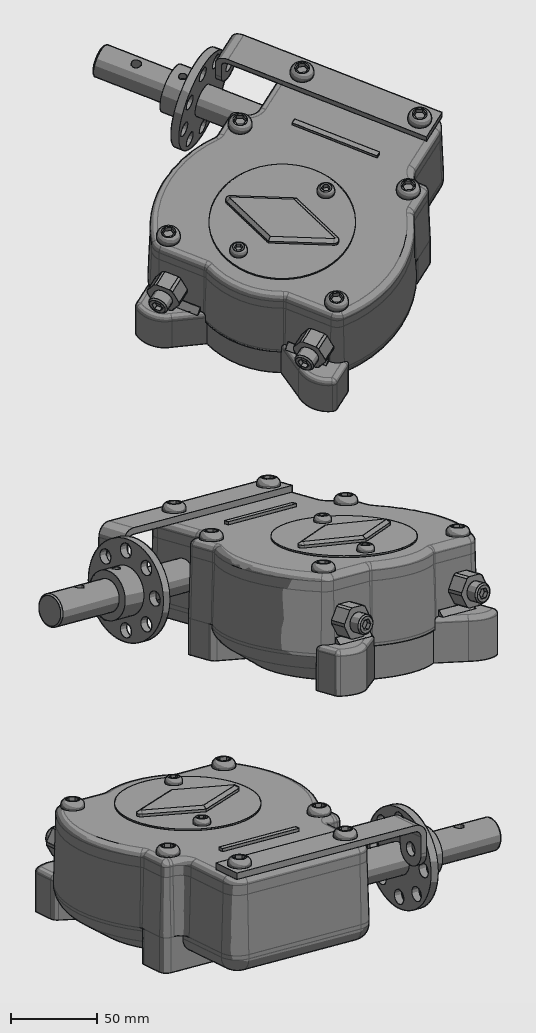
import cadquery as cq
import math

DRUM_RADIUS = 77.9
LOBE_RADIUS = 55.9
LOBE_BASE_RADIUS = 55.1
FRONT_WALL_Y = -49.5
POST_HALF_WIDTH = 65.0
POST_BACK_Y = 65.3
NECK_HALF_WIDTH = 51.8
NECK_BACK_Y = 114.3
NECK_BOTTOM_Z = 10.0
NECK_BOTTOM_FILLET = 9.5
NECK_CORNER_RADIUS = 11.4
POST_CORNER_RADIUS = 4.7
POST_BLEND_RADIUS = 2.8
NECK_BLEND_RADIUS = 6.2
DRUM_CORNER_RADIUS = 9.2
LOBE_BLEND_RADIUS = 2.0
WALL_BASE_Z = 22.0
BOWL_TOP_Z = 20.0
BOWL_KNUCKLE_RADIUS = 72.2
BOWL_KNUCKLE_Z = 11.4
FLANK_INNER_X = 45.5
FLANK_INNER_Y = 32.2
FLANK_CORNER_RADIUS = 4.7

SPLIT_Z = 59.2
COVER_TOP_Z = 69.5
COVER_INSET = 1.2
COVER_FILLET = 4.3

FOOT_TOP_Z = 27.5
FOOT_FRONT_Y = -65.3
FOOT_INNER_X = 23.7
FOOT_SHOULDER_Y = -61.0
FOOT_NOSE_X = 53.0
FOOT_SLANT_X = 41.0
FOOT_CORNER_RADIUS = 3.5
FOOT_TOP_FILLET = 3.3
RAMP_TOP_Z = 31.0
RAMP_DEPTH = 3.5
RAMP_INNER_X = 28.5
RAMP_OUTER_X = 55.0

DISC_DIAMETER = 85.0
DISC_THICKNESS = 1.0
DISC_SEAT_DIAMETER = 80.0
DISC_SEAT_HEIGHT = 1.0
DIAMOND_HALF_LENGTH = 40.5
DIAMOND_HALF_WIDTH = 18.0
DIAMOND_TIP_RADIUS = 2.8
DIAMOND_RIM_HEIGHT = 1.7
DIAMOND_SLOPE_HEIGHT = 1.7
DIAMOND_TAPER = 55
BAR_HEIGHT = 2.0
BAR_LENGTH = 55.1
BAR_WIDTH = 3.3
BAR_Y = 69.5

SHAFT_DIAMETER = 20.0
SHAFT_Y = 81.5
SHAFT_Z = 41.2
SHAFT_END_X = -158.8
SHAFT_CHAMFER = 1.0
PIN_HOLE_DIAMETER = 6.0
PIN_HOLE_X = -135.1
COLLAR_DIAMETER = 30.0
COLLAR_START_X = -112.5
SET_SCREW_DIAMETER = 4.7
SET_SCREW_X = -105.0
FLANGE_DIAMETER = 62.5
FLANGE_START_X = -97.3
FLANGE_THICKNESS = 5.2
FLANGE_HOLE_COUNT = 8
FLANGE_HOLE_DIAMETER = 9.0
FLANGE_HOLE_CIRCLE = 48.0

STRAP_LEFT_X = -89.2
STRAP_RIGHT_X = 47.5
STRAP_FRONT_Y = 91.8
STRAP_WIDTH = 20.4
STRAP_THICKNESS = 4.0
STRAP_BEND_RADIUS = 8.3
STRAP_EYE_Z = 55.0
STRAP_EYE_DIAMETER = 8.5

LARGE_HEAD_DIAMETER = 14.0
LARGE_HEAD_TOP_DIAMETER = 8.5
LARGE_HEAD_HEIGHT = 4.7
LARGE_SOCKET_WIDTH = 6.5
SMALL_HEAD_DIAMETER = 10.5
SMALL_HEAD_TOP_DIAMETER = 6.9
SMALL_HEAD_HEIGHT = 3.8
SMALL_SOCKET_WIDTH = 4.3
HEAD_RIM_HEIGHT = 1.0
SOCKET_DEPTH = 2.8
SOCKET_TURN = 30
STRAP_SCREW_X = 38.0
COVER_SCREW_X = 54.5
COVER_SCREW_BACK_Y = 54.5
COVER_SCREW_FRONT_Y = -38.5
DISC_SCREW_X = 12.8
DISC_SCREW_Y = 31.0

BOLT_X = 47.3
BOLT_Z = 41.0
BOLT_DIAMETER = 12.0
BOLT_END_Y = -67.2
BOLT_CHAMFER = 1.0
BOLT_EMBED = 2.4
BOLT_SOCKET_WIDTH = 6.0
NUT_END_Y = -59.6
NUT_WIDTH = 19
NUT_CHAMFER_DIAMETER = 20.8

POST_START_Y = math.sqrt(DRUM_RADIUS**2 - POST_HALF_WIDTH**2)
DISC_TOP_Z = COVER_TOP_Z + DISC_SEAT_HEIGHT + DISC_THICKNESS
STRAP_TOP_Z = COVER_TOP_Z + STRAP_THICKNESS
STRAP_CENTER_Y = STRAP_FRONT_Y + STRAP_WIDTH / 2
WALL_DRAFT = math.degrees(math.atan(COVER_INSET / (SPLIT_Z - WALL_BASE_Z)))


def block(x_range, y_range, z_range):
    """Box between two limits along each axis."""
    sizes = [high - low for low, high in (x_range, y_range, z_range)]
    corner = (x_range[0], y_range[0], z_range[0])
    return cq.Workplane("XY").box(*sizes, centered=False).translate(corner)


def hex_prism(workplane, width, length):
    """Hexagonal prism given by its width across flats."""
    return workplane.polygon(6, width / math.cos(math.pi / 6)).extrude(length)


def on_both_sides(solid):
    """A solid together with its mirror image across the YZ plane."""
    return solid.union(solid.mirror("YZ"))


def housing_outline():
    """Closed wire around the drum, front lobe, rear posts and neck, with rounded corners."""
    lobe_x = math.sqrt(LOBE_RADIUS**2 - FRONT_WALL_Y**2)
    drum_x = math.sqrt(DRUM_RADIUS**2 - FRONT_WALL_Y**2)
    plate_thickness = 2.4
    plate = (
        cq.Workplane("XY")
        .moveTo(-lobe_x, FRONT_WALL_Y)
        .threePointArc((0, -LOBE_RADIUS), (lobe_x, FRONT_WALL_Y))
        .lineTo(drum_x, FRONT_WALL_Y)
        .threePointArc((DRUM_RADIUS, 0), (POST_HALF_WIDTH, POST_START_Y))
        .lineTo(POST_HALF_WIDTH, POST_BACK_Y)
        .lineTo(NECK_HALF_WIDTH, POST_BACK_Y)
        .lineTo(NECK_HALF_WIDTH, NECK_BACK_Y)
        .lineTo(-NECK_HALF_WIDTH, NECK_BACK_Y)
        .lineTo(-NECK_HALF_WIDTH, POST_BACK_Y)
        .lineTo(-POST_HALF_WIDTH, POST_BACK_Y)
        .lineTo(-POST_HALF_WIDTH, POST_START_Y)
        .threePointArc((-DRUM_RADIUS, 0), (-drum_x, FRONT_WALL_Y))
        .close()
        .extrude(plate_thickness)
    )
    corners = [
        (lobe_x, FRONT_WALL_Y, LOBE_BLEND_RADIUS),
        (drum_x, FRONT_WALL_Y, DRUM_CORNER_RADIUS),
        (POST_HALF_WIDTH, POST_START_Y, POST_BLEND_RADIUS),
        (POST_HALF_WIDTH, POST_BACK_Y, POST_CORNER_RADIUS),
        (NECK_HALF_WIDTH, POST_BACK_Y, NECK_BLEND_RADIUS),
        (NECK_HALF_WIDTH, NECK_BACK_Y, NECK_CORNER_RADIUS),
    ]
    for x, y, radius in corners:
        for side in (-1, 1):
            corner = cq.selectors.NearestToPointSelector((side * x, y, plate_thickness / 2))
            plate = plate.edges("|Z").edges(corner).fillet(radius)
    return plate.faces("<Z").wires().val()


def make_walls():
    """Drafted housing walls below the split, and the cover with its rounded top edge."""
    outline = housing_outline()
    walls = (
        cq.Workplane("XY")
        .add(outline.translate(cq.Vector(0, 0, WALL_BASE_Z)))
        .toPending()
        .extrude(SPLIT_Z - WALL_BASE_Z, taper=WALL_DRAFT)
    )
    cover = (
        cq.Workplane("XY")
        .add(outline.offset2D(-COVER_INSET)[0].translate(cq.Vector(0, 0, SPLIT_Z)))
        .toPending()
        .extrude(COVER_TOP_Z - SPLIT_Z)
        .faces(">Z")
        .edges()
        .fillet(COVER_FILLET)
    )
    return walls.union(cover)


def make_underside():
    """Conical bowl, lobe, rear posts and neck below the drafted walls."""
    bowl = (
        cq.Workplane("XZ")
        .moveTo(0, 0)
        .lineTo(LOBE_BASE_RADIUS, 0)
        .lineTo(BOWL_KNUCKLE_RADIUS, BOWL_KNUCKLE_Z)
        .tangentArcPoint((DRUM_RADIUS, BOWL_TOP_Z), relative=False)
        .lineTo(DRUM_RADIUS, WALL_BASE_Z)
        .lineTo(0, WALL_BASE_Z)
        .close()
        .revolve(360, (0, 0, 0), (0, 1, 0))
        .intersect(block((-DRUM_RADIUS, DRUM_RADIUS), (FRONT_WALL_Y, DRUM_RADIUS), (0, WALL_BASE_Z)))
    )
    lobe = (
        cq.Workplane("XY")
        .circle(LOBE_BASE_RADIUS)
        .extrude(BOWL_TOP_Z)
        .faces(">Z")
        .workplane()
        .circle(LOBE_RADIUS)
        .extrude(WALL_BASE_Z - BOWL_TOP_Z)
    )
    post_root_x = LOBE_RADIUS / 2
    post = (
        cq.Workplane("XY")
        .moveTo(FLANK_INNER_X, FLANK_INNER_Y)
        .lineTo(POST_HALF_WIDTH, POST_START_Y)
        .lineTo(POST_HALF_WIDTH, POST_BACK_Y)
        .lineTo(post_root_x, POST_BACK_Y)
        .lineTo(post_root_x, FLANK_INNER_Y)
        .close()
        .extrude(WALL_BASE_Z)
        .edges("|Z and >X and >Y")
        .fillet(POST_CORNER_RADIUS)
        .edges(cq.selectors.NearestToPointSelector((POST_HALF_WIDTH, POST_START_Y, WALL_BASE_Z / 2)))
        .fillet(FLANK_CORNER_RADIUS)
    )
    neck = (
        block((-NECK_HALF_WIDTH, NECK_HALF_WIDTH), (0, NECK_BACK_Y), (NECK_BOTTOM_Z, WALL_BASE_Z))
        .edges("|Z and >Y")
        .fillet(NECK_CORNER_RADIUS)
        .faces("<Z")
        .edges("not <Y")
        .fillet(NECK_BOTTOM_FILLET)
    )
    return bowl.union(lobe).union(on_both_sides(post)).union(neck)


def make_front_foot():
    """Right front foot: a rounded nose with a slanted inner side, and a ramp up to the wall."""
    rim = cq.selectors.BoxSelector(
        (FOOT_INNER_X, FOOT_FRONT_Y, FOOT_TOP_Z - FOOT_TOP_FILLET),
        (POST_HALF_WIDTH + FOOT_TOP_FILLET, -POST_START_Y, FOOT_TOP_Z + FOOT_TOP_FILLET),
    )
    foot = (
        cq.Workplane("XY")
        .moveTo(FOOT_INNER_X, -FLANK_INNER_Y)
        .lineTo(FLANK_INNER_X, -FLANK_INNER_Y)
        .lineTo(POST_HALF_WIDTH, -POST_START_Y)
        .lineTo(POST_HALF_WIDTH, FOOT_SHOULDER_Y)
        .threePointArc((FOOT_NOSE_X, FOOT_FRONT_Y), (FOOT_SLANT_X, FOOT_SHOULDER_Y))
        .lineTo(FOOT_INNER_X, FRONT_WALL_Y)
        .close()
        .extrude(FOOT_TOP_Z)
        .edges("|Z and >X")
        .edges("<Y")
        .fillet(FOOT_CORNER_RADIUS)
        .edges(cq.selectors.NearestToPointSelector((POST_HALF_WIDTH, -POST_START_Y, FOOT_TOP_Z / 2)))
        .fillet(FLANK_CORNER_RADIUS)
        .faces(">Z")
        .edges(rim)
        .fillet(FOOT_TOP_FILLET)
    )
    ramp = (
        cq.Workplane("YZ", origin=(RAMP_INNER_X, 0, 0))
        .moveTo(FRONT_WALL_Y + COVER_INSET, FOOT_TOP_Z)
        .lineTo(FRONT_WALL_Y + COVER_INSET, RAMP_TOP_Z)
        .lineTo(FRONT_WALL_Y, RAMP_TOP_Z)
        .lineTo(FRONT_WALL_Y - RAMP_DEPTH, FOOT_TOP_Z)
        .close()
        .extrude(RAMP_OUTER_X - RAMP_INNER_X)
    )
    return foot.union(ramp)


def make_stop_bolt():
    """Right stop bolt with its hexagonal lock nut and socket."""
    front = cq.Workplane("XZ", origin=(BOLT_X, 0, BOLT_Z))
    nut_start = -FRONT_WALL_Y - COVER_INSET - BOLT_EMBED
    nut_length = -NUT_END_Y - nut_start
    nut_round = (
        front.workplane(offset=nut_start)
        .circle(NUT_CHAMFER_DIAMETER / 2)
        .extrude(nut_length)
    )
    nut = hex_prism(front.workplane(offset=nut_start), NUT_WIDTH, nut_length).intersect(nut_round)
    bolt = (
        front.workplane(offset=nut_start)
        .circle(BOLT_DIAMETER / 2)
        .extrude(-BOLT_END_Y - nut_start)
        .faces("<Y")
        .chamfer(BOLT_CHAMFER)
    )
    socket = hex_prism(front.workplane(offset=-BOLT_END_Y - SOCKET_DEPTH), BOLT_SOCKET_WIDTH, SOCKET_DEPTH)
    return nut.union(bolt).cut(socket)


def make_indicator():
    """Disc on a smaller round seat, its diamond with sloped edges, and the bar behind it."""
    disc = (
        cq.Workplane("XY", origin=(0, 0, COVER_TOP_Z))
        .circle(DISC_SEAT_DIAMETER / 2)
        .extrude(DISC_SEAT_HEIGHT)
        .faces(">Z")
        .workplane()
        .circle(DISC_DIAMETER / 2)
        .extrude(DISC_THICKNESS)
    )
    diamond = (
        cq.Workplane("XY", origin=(0, 0, DISC_TOP_Z))
        .polyline(
            [
                (DIAMOND_HALF_LENGTH, 0),
                (0, DIAMOND_HALF_WIDTH),
                (-DIAMOND_HALF_LENGTH, 0),
                (0, -DIAMOND_HALF_WIDTH),
            ]
        )
        .close()
        .extrude(DIAMOND_RIM_HEIGHT)
        .edges("|Z and (<X or >X)")
        .fillet(DIAMOND_TIP_RADIUS)
    )
    slopes = (
        diamond.faces(">Z")
        .wires()
        .toPending()
        .extrude(DIAMOND_SLOPE_HEIGHT, combine=False, taper=DIAMOND_TAPER)
    )
    bar = cq.Workplane("XY", origin=(0, BAR_Y, COVER_TOP_Z)).rect(BAR_LENGTH, BAR_WIDTH).extrude(BAR_HEIGHT)
    return disc.union(diamond).union(slopes).union(bar)


def make_shaft():
    """Input shaft with its collar and drilled flange, along X."""

    def round_bar(start_x, end_x, diameter):
        plane = cq.Workplane("YZ", origin=(start_x, SHAFT_Y, SHAFT_Z))
        return plane.circle(diameter / 2).extrude(end_x - start_x)

    def drill_down(x, diameter, bottom_z):
        plane = cq.Workplane("XY", origin=(x, SHAFT_Y, bottom_z))
        return plane.circle(diameter / 2).extrude(COLLAR_DIAMETER)

    shaft_root_x = -NECK_HALF_WIDTH / 2
    shaft = round_bar(SHAFT_END_X, shaft_root_x, SHAFT_DIAMETER).faces("<X").chamfer(SHAFT_CHAMFER)
    collar = round_bar(COLLAR_START_X, FLANGE_START_X, COLLAR_DIAMETER)
    flange_end_x = FLANGE_START_X + FLANGE_THICKNESS
    flange = round_bar(FLANGE_START_X, flange_end_x, FLANGE_DIAMETER)
    flange_holes = (
        cq.Workplane("YZ", origin=(FLANGE_START_X, SHAFT_Y, SHAFT_Z))
        .polarArray(FLANGE_HOLE_CIRCLE / 2, 0, 360, FLANGE_HOLE_COUNT)
        .circle(FLANGE_HOLE_DIAMETER / 2)
        .extrude(FLANGE_THICKNESS)
    )
    pin_hole = drill_down(PIN_HOLE_X, PIN_HOLE_DIAMETER, SHAFT_Z - SHAFT_DIAMETER / 2)
    set_screw_hole = drill_down(SET_SCREW_X, SET_SCREW_DIAMETER, SHAFT_Z + SHAFT_DIAMETER / 2)
    return shaft.union(collar).union(flange.cut(flange_holes)).cut(pin_hole).cut(set_screw_hole)


def make_strap():
    """Bracket strap bent down at its left end, where it finishes in a round eye."""
    strap = (
        cq.Workplane("XZ", origin=(0, STRAP_FRONT_Y, 0))
        .moveTo(STRAP_RIGHT_X, STRAP_TOP_Z)
        .lineTo(STRAP_LEFT_X, STRAP_TOP_Z)
        .lineTo(STRAP_LEFT_X, STRAP_EYE_Z)
        .lineTo(STRAP_LEFT_X + STRAP_THICKNESS, STRAP_EYE_Z)
        .lineTo(STRAP_LEFT_X + STRAP_THICKNESS, COVER_TOP_Z)
        .lineTo(STRAP_RIGHT_X, COVER_TOP_Z)
        .close()
        .extrude(-STRAP_WIDTH)
    )
    inner_bend = (STRAP_LEFT_X + STRAP_THICKNESS, STRAP_CENTER_Y, COVER_TOP_Z)
    strap = strap.edges("|Y and <X and >Z").fillet(STRAP_BEND_RADIUS)
    strap = (
        strap.edges("|Y")
        .edges(cq.selectors.NearestToPointSelector(inner_bend))
        .fillet(STRAP_BEND_RADIUS - STRAP_THICKNESS)
    )
    eye_plane = cq.Workplane("YZ", origin=(STRAP_LEFT_X, STRAP_CENTER_Y, STRAP_EYE_Z))
    eye = eye_plane.circle(STRAP_WIDTH / 2).extrude(STRAP_THICKNESS)
    hole = eye_plane.circle(STRAP_EYE_DIAMETER / 2).extrude(STRAP_THICKNESS)
    return strap.union(eye).cut(hole)


def make_button_head(diameter, top_diameter, height, socket_width):
    """Domed screw head on the Z axis, standing on Z = 0, with a hexagonal socket."""
    radius = diameter / 2
    top_radius = top_diameter / 2
    head = (
        cq.Workplane("XZ")
        .lineTo(radius, 0)
        .lineTo(radius, HEAD_RIM_HEIGHT)
        .tangentArcPoint((top_radius, height), relative=False)
        .lineTo(0, height)
        .close()
        .revolve(360, (0, 0, 0), (0, 1, 0))
    )
    socket = hex_prism(cq.Workplane("XY", origin=(0, 0, height - SOCKET_DEPTH)), socket_width, SOCKET_DEPTH)
    return head.cut(socket.rotate((0, 0, 0), (0, 0, 1), SOCKET_TURN))


def make_screws():
    """All button-head screws on the strap, cover and disc."""
    large = make_button_head(
        LARGE_HEAD_DIAMETER, LARGE_HEAD_TOP_DIAMETER, LARGE_HEAD_HEIGHT, LARGE_SOCKET_WIDTH
    )
    small = make_button_head(
        SMALL_HEAD_DIAMETER, SMALL_HEAD_TOP_DIAMETER, SMALL_HEAD_HEIGHT, SMALL_SOCKET_WIDTH
    )
    heads = []
    for side in (-1, 1):
        heads.append(large.translate((side * STRAP_SCREW_X, STRAP_CENTER_Y, STRAP_TOP_Z)))
        heads.append(large.translate((side * COVER_SCREW_X, COVER_SCREW_BACK_Y, COVER_TOP_Z)))
        heads.append(large.translate((side * COVER_SCREW_X, COVER_SCREW_FRONT_Y, COVER_TOP_Z)))
        heads.append(small.translate((side * DISC_SCREW_X, side * DISC_SCREW_Y, DISC_TOP_Z)))
    return heads


result = make_walls().union(make_underside())
result = result.union(on_both_sides(make_front_foot()))
result = result.union(on_both_sides(make_stop_bolt()))
result = result.union(make_indicator())
result = result.union(make_shaft())
result = result.union(make_strap())
for screw_head in make_screws():
    result = result.union(screw_head)